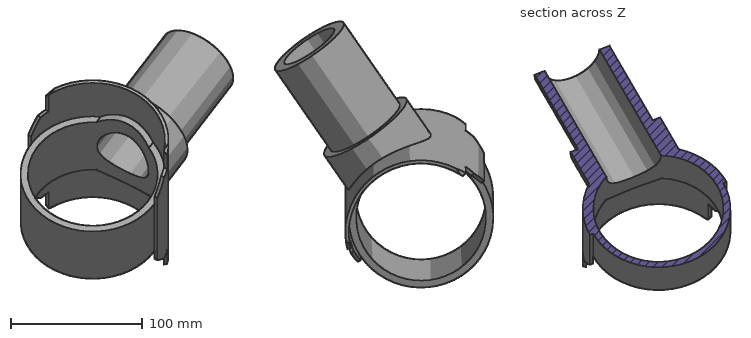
import cadquery as cq

ring_outer_radius = 55.0
ring_inner_radius = 49.5
ring_height = 59.6

saddle_radius = 57.8
saddle_height = 144.0
shoulder_y = 19.8
wing_height = 102.2
wing_chamfer = 11.9
corner_chamfer = 3.5

collar_radius = 38.0
collar_end_y = 76.5
pipe_radius = 31.7
bore_radius = 23.0
overall_length = 208.5
pipe_end_y = overall_length - ring_outer_radius


def upright_cylinder(radius, height):
    return cq.Workplane("XY").cylinder(height, radius)


def branch_cylinder(radius, end_y):
    return cq.Workplane("XZ").circle(radius).extrude(-end_y)


def make_saddle():
    half_height = saddle_height / 2
    half_wing = wing_height / 2
    side_outline = (
        cq.Workplane("YZ")
        .moveTo(saddle_radius, -half_height)
        .lineTo(shoulder_y, -half_height)
        .lineTo(shoulder_y, -half_wing)
        .lineTo(wing_chamfer, -half_wing)
        .lineTo(0, -half_wing + wing_chamfer)
        .lineTo(0, half_wing - wing_chamfer)
        .lineTo(wing_chamfer, half_wing)
        .lineTo(shoulder_y, half_wing)
        .lineTo(shoulder_y, half_height)
        .lineTo(saddle_radius, half_height)
        .close()
        .extrude(saddle_radius, both=True)
    )
    shell = upright_cylinder(saddle_radius, saddle_height).cut(
        upright_cylinder(ring_outer_radius, saddle_height)
    )
    return trim_corners(shell.intersect(side_outline))


def trim_corners(saddle):
    """Cut 45 degree corners where the shoulders meet the end faces."""
    corner_x = (saddle_radius**2 - shoulder_y**2) ** 0.5
    corner_z = saddle_height / 2
    wedge_inner_x = corner_x - corner_chamfer
    wedge_depth = saddle_radius - wedge_inner_x
    for side in (-1, 1):
        for end in (-1, 1):
            wedge = (
                cq.Workplane("XZ")
                .moveTo(side * wedge_inner_x, end * corner_z)
                .lineTo(side * saddle_radius, end * corner_z)
                .lineTo(side * saddle_radius, end * (corner_z - wedge_depth))
                .close()
                .extrude(-saddle_radius)
            )
            saddle = saddle.cut(wedge)
    return saddle


def make_branch():
    return branch_cylinder(collar_radius, collar_end_y).union(
        branch_cylinder(pipe_radius, pipe_end_y)
    )


ring = upright_cylinder(ring_outer_radius, ring_height)
solid_body = ring.union(make_saddle()).union(make_branch())
result = solid_body.cut(upright_cylinder(ring_inner_radius, saddle_height)).cut(
    branch_cylinder(bore_radius, pipe_end_y)
)